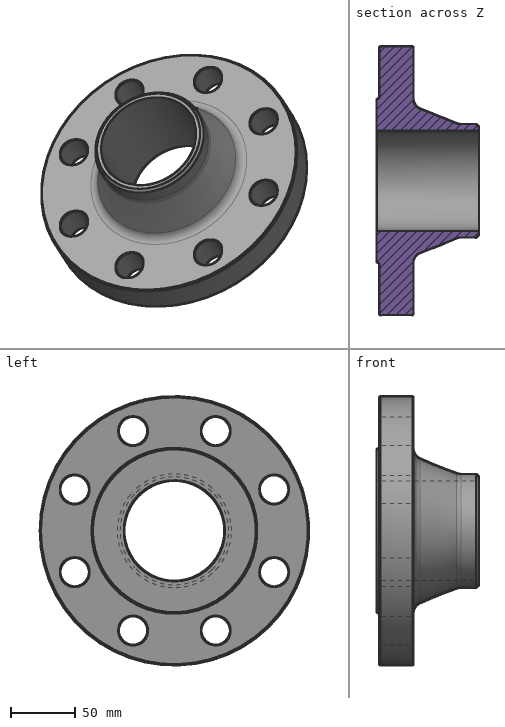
import cadquery as cq
import math


overall_length = 80.0
raised_face_height = 2.0
flange_back_x = 29.0

flange_radius = 210.0 / 2
raised_face_radius = 127.0 / 2
raised_face_flare = 1.15
bore_radius = 77.9 / 2
neck_radius = 88.9 / 2

hub_base_radius = 117.0 / 2
hub_end_x = 64.0
hub_root_fillet = 8.0
neck_blend_radius = 9.0

bolt_count = 8
bolt_hole_diameter = 22.2
bolt_circle_diameter = 168.3

rim_chamfer = 1.0
hole_chamfer = 0.5
bore_chamfer = 0.5
weld_bevel = 2.2


def tangent_length(radius, turn_angle):
    """Distance from a corner to the tangent point of its fillet."""
    return radius * math.tan(turn_angle / 2)


def make_body():
    """Revolve the half section, given as (x, radius), about the X axis."""
    hub_slope = math.atan2(hub_base_radius - neck_radius, hub_end_x - flange_back_x)
    along_x = math.cos(hub_slope)
    along_r = math.sin(hub_slope)

    root_turn = math.pi / 2 - hub_slope
    root_tangent = tangent_length(hub_root_fillet, root_turn)
    root_start = (flange_back_x, hub_base_radius + root_tangent)
    root_end = (flange_back_x + root_tangent * along_x, hub_base_radius - root_tangent * along_r)
    root_center = (flange_back_x + hub_root_fillet, root_start[1])
    root_mid_angle = math.pi + root_turn / 2
    root_mid = (
        root_center[0] + hub_root_fillet * math.cos(root_mid_angle),
        root_center[1] + hub_root_fillet * math.sin(root_mid_angle),
    )

    neck_tangent = tangent_length(neck_blend_radius, hub_slope)
    neck_start = (hub_end_x - neck_tangent * along_x, neck_radius + neck_tangent * along_r)
    neck_end = (hub_end_x + neck_tangent, neck_radius)
    neck_mid = (
        neck_end[0] - neck_blend_radius * math.sin(hub_slope / 2),
        neck_radius + neck_blend_radius * (1 - math.cos(hub_slope / 2)),
    )

    section = (
        cq.Workplane("XY")
        .moveTo(0, bore_radius + bore_chamfer)
        .lineTo(0, raised_face_radius)
        .lineTo(raised_face_height, raised_face_radius + raised_face_flare)
        .lineTo(raised_face_height, flange_radius - rim_chamfer)
        .lineTo(raised_face_height + rim_chamfer, flange_radius)
        .lineTo(flange_back_x - rim_chamfer, flange_radius)
        .lineTo(flange_back_x, flange_radius - rim_chamfer)
        .lineTo(*root_start)
        .threePointArc(root_mid, root_end)
        .lineTo(*neck_start)
        .threePointArc(neck_mid, neck_end)
        .lineTo(overall_length - weld_bevel, neck_radius)
        .lineTo(overall_length, neck_radius - weld_bevel)
        .lineTo(overall_length, bore_radius)
        .lineTo(bore_chamfer, bore_radius)
        .close()
    )
    return section.revolve(360, (0, 0, 0), (1, 0, 0))


def make_bolt_hole_cutter():
    """Cutter on the X axis: a through hole chamfered at both flange faces."""
    hole_radius = bolt_hole_diameter / 2
    mouth_radius = hole_radius + hole_chamfer
    return (
        cq.Workplane("XY")
        .moveTo(raised_face_height, 0)
        .lineTo(raised_face_height, mouth_radius)
        .lineTo(raised_face_height + hole_chamfer, hole_radius)
        .lineTo(flange_back_x - hole_chamfer, hole_radius)
        .lineTo(flange_back_x, mouth_radius)
        .lineTo(flange_back_x, 0)
        .close()
        .revolve(360, (0, 0, 0), (1, 0, 0))
    )


def cut_bolt_holes(body):
    """Cut the bolt circle, with holes straddling the Y and Z axes."""
    pitch_angle = 360.0 / bolt_count
    cutter = make_bolt_hole_cutter().translate((0, bolt_circle_diameter / 2, 0))
    for index in range(bolt_count):
        angle = (index + 0.5) * pitch_angle
        body = body.cut(cutter.rotate((0, 0, 0), (1, 0, 0), angle))
    return body


result = cut_bolt_holes(make_body())